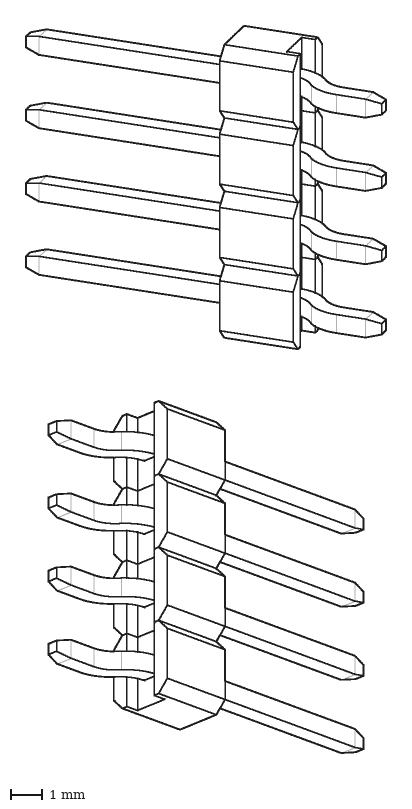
import cadquery as cq
import math

POSITIONS = 4
PITCH = 2.54

HOUSING_LENGTH = 2.54
HOUSING_WIDTH = 2.5
HOUSING_CHAMFER = 0.4
NOTCH_DEPTH = 0.47
NOTCH_WIDTH = 1.26

TOTAL_LENGTH = 12.64
PIN_SIZE = 0.65
TIP_SIZE = 0.38
TIP_LENGTH = 0.5
PIN_PROJECTION = 7.1

BEND_START = 9.18
BEND_END = 11.12
CREASE_DROP = 0.5
UPPER_CREASE_RUN = 1.14
LOWER_CREASE_RUN = 0.92

HOUSING_FRONT = PIN_PROJECTION
HOUSING_BACK = HOUSING_FRONT + HOUSING_LENGTH
TAIL_TAPER_START = TOTAL_LENGTH - TIP_LENGTH

TAIL_DROP = (HOUSING_WIDTH - PIN_SIZE) / 2


def make_housing(z):
    """One housing cell centred on height z, with a square hole for its pin."""
    block = (
        cq.Workplane("YZ", origin=(HOUSING_FRONT, 0, z))
        .rect(HOUSING_WIDTH, PITCH)
        .extrude(HOUSING_LENGTH)
        .edges("|X")
        .chamfer(HOUSING_CHAMFER)
    )
    notch = (
        cq.Workplane("YZ", origin=(HOUSING_BACK - NOTCH_DEPTH, 0, z))
        .rect(NOTCH_WIDTH, PITCH)
        .extrude(NOTCH_DEPTH)
    )
    pin_hole = (
        cq.Workplane("YZ", origin=(HOUSING_FRONT, 0, z))
        .rect(PIN_SIZE, PIN_SIZE)
        .extrude(HOUSING_LENGTH)
    )
    return block.cut(notch).cut(pin_hole)


def make_taper(x, y, z, direction):
    """Tapered end that starts at full wire size at x and narrows along direction (+1 or -1)."""
    return (
        cq.Workplane("YZ", origin=(x, y, z))
        .rect(PIN_SIZE, PIN_SIZE)
        .workplane(offset=direction * TIP_LENGTH)
        .rect(TIP_SIZE, TIP_SIZE)
        .loft(ruled=True)
    )


def arc_middle(level_end, other_end):
    """Middle of an arc that is parallel to X at level_end and finishes at other_end."""
    x, y = level_end
    run = other_end[0] - x
    rise = other_end[1] - y
    radius = (run**2 + rise**2) / (2 * rise)
    half_angle = math.atan(rise / run)
    return (
        x + radius * math.sin(half_angle),
        y + radius * (1 - math.cos(half_angle)),
    )


def make_wire(z):
    """Full-size length of the pin between its two tapers."""
    half = PIN_SIZE / 2
    upper_start = (BEND_START, half)
    upper_crease = (BEND_START + UPPER_CREASE_RUN, half - CREASE_DROP)
    upper_end = (BEND_END, half - TAIL_DROP)
    lower_start = (BEND_START, -half)
    lower_crease = (BEND_START + LOWER_CREASE_RUN, -half - CREASE_DROP)
    lower_end = (BEND_END, -half - TAIL_DROP)

    return (
        cq.Workplane("XY", origin=(0, 0, z - half))
        .moveTo(TIP_LENGTH, half)
        .lineTo(*upper_start)
        .threePointArc(arc_middle(upper_start, upper_crease), upper_crease)
        .threePointArc(arc_middle(upper_end, upper_crease), upper_end)
        .lineTo(TAIL_TAPER_START, half - TAIL_DROP)
        .lineTo(TAIL_TAPER_START, -half - TAIL_DROP)
        .lineTo(*lower_end)
        .threePointArc(arc_middle(lower_end, lower_crease), lower_crease)
        .threePointArc(arc_middle(lower_start, lower_crease), lower_start)
        .lineTo(TIP_LENGTH, -half)
        .close()
        .extrude(PIN_SIZE)
    )


def make_pin(z):
    """One bent pin at height z: the wire and a taper at each end."""
    straight_tip = make_taper(TIP_LENGTH, 0, z, -1)
    tail_tip = make_taper(TAIL_TAPER_START, -TAIL_DROP, z, 1)
    return make_wire(z).union(straight_tip).union(tail_tip)


bodies = []
for position in range(POSITIONS):
    height = (position - (POSITIONS - 1) / 2) * PITCH
    bodies.append(make_housing(height).val())
    bodies.append(make_pin(height).val())

result = cq.Compound.makeCompound(bodies)